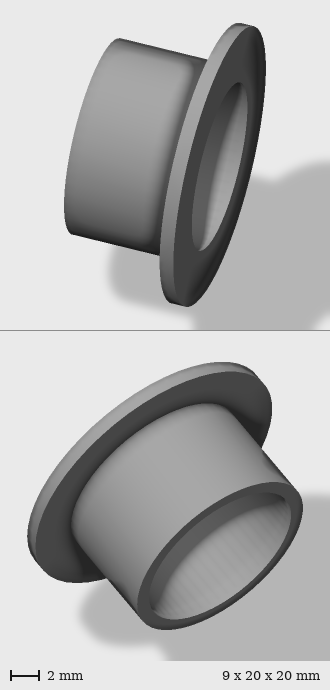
import cadquery as cq

flange_diameter = 20.0
sleeve_diameter = 14.0
wall_thickness = 1.0
flange_thickness = wall_thickness
total_length = 9.0

bore_diameter = sleeve_diameter - 2 * wall_thickness
sleeve_length = total_length - flange_thickness

sleeve = cq.Workplane("YZ").circle(sleeve_diameter / 2).extrude(sleeve_length)
flange = (
    cq.Workplane("YZ", origin=(sleeve_length, 0, 0))
    .circle(flange_diameter / 2)
    .extrude(flange_thickness)
)

bore = cq.Workplane("YZ").circle(bore_diameter / 2).extrude(total_length)

result = sleeve.union(flange).cut(bore)